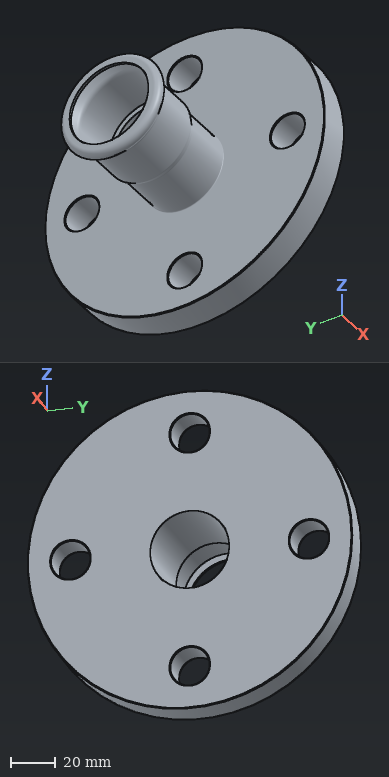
import cadquery as cq
import math

total_length = 77.0
flange_radius = 75.0
flange_thickness = 16.0
flange_face = total_length - flange_thickness
edge_chamfer = 0.5

bolt_count = 4
bolt_circle_radius = 55.0
bolt_hole_diameter = 18.0

wall = 1.4
socket_radius = 22.5
mouth_radius = socket_radius - wall
bead_center_radius = 24.0
bead_radius = 3.0
bead_slope = math.radians(45)
bead_root_fillet = 2.0

socket_end = 32.0
neck_radius = 20.7
neck_bore_diameter = 36.5
shoulder_slope = math.radians(30)
shoulder_fillet = 1.8
neck_root_fillet = 0.5

bead_center = (bead_radius, bead_center_radius)
root_center_radius = socket_radius + bead_root_fillet
root_rise = root_center_radius - bead_center_radius
root_center_offset = (bead_radius + bead_root_fillet - root_rise * math.cos(bead_slope)) / math.sin(bead_slope)
root_center = (bead_radius + root_center_offset, root_center_radius)


def on_arc(center, radius, angle):
    """Point (axial, radial) on an arc, with the angle measured from outward radial towards +X."""
    return (center[0] + radius * math.sin(angle), center[1] + radius * math.cos(angle))


def revolve_about_x(profile):
    return profile.close().revolve(360, (0, 0, 0), (1, 0, 0))


def add_bead(profile, offset):
    """Trace the bead, its flank and its root fillet, moved inward by offset."""
    tube_radius = bead_radius - offset
    fillet_radius = bead_root_fillet + offset
    return (
        profile.lineTo(*on_arc(bead_center, tube_radius, -math.pi / 2))
        .threePointArc(
            on_arc(bead_center, tube_radius, (bead_slope - math.pi / 2) / 2),
            on_arc(bead_center, tube_radius, bead_slope),
        )
        .lineTo(*on_arc(root_center, fillet_radius, math.pi + bead_slope))
        .threePointArc(
            on_arc(root_center, fillet_radius, math.pi + bead_slope / 2),
            on_arc(root_center, fillet_radius, math.pi),
        )
    )


def make_tube():
    """Solid outer form of the socket, shoulder and neck."""
    first_center = (socket_end, socket_radius - shoulder_fillet)
    fillet_drop = shoulder_fillet * (1 - math.cos(shoulder_slope))
    cone_drop = socket_radius - neck_radius - 2 * fillet_drop
    cone_length = cone_drop / math.tan(shoulder_slope)
    shoulder_length = cone_length + 2 * shoulder_fillet * math.sin(shoulder_slope)
    second_center = (socket_end + shoulder_length, neck_radius + shoulder_fillet)
    root_fillet_center = (flange_face - neck_root_fillet, neck_radius + neck_root_fillet)

    profile = add_bead(cq.Workplane("XY").moveTo(0, 0), 0)
    profile = (
        profile.lineTo(socket_end, socket_radius)
        .threePointArc(
            on_arc(first_center, shoulder_fillet, shoulder_slope / 2),
            on_arc(first_center, shoulder_fillet, shoulder_slope),
        )
        .lineTo(*on_arc(second_center, shoulder_fillet, math.pi + shoulder_slope))
        .threePointArc(
            on_arc(second_center, shoulder_fillet, math.pi + shoulder_slope / 2),
            on_arc(second_center, shoulder_fillet, math.pi),
        )
        .lineTo(root_fillet_center[0], neck_radius)
        .threePointArc(
            on_arc(root_fillet_center, neck_root_fillet, math.pi * 3 / 4),
            (flange_face, root_fillet_center[1]),
        )
        .lineTo(total_length, root_fillet_center[1])
        .lineTo(total_length, 0)
    )
    return revolve_about_x(profile)


def make_bore():
    """Stepped bore with the seal groove inside the bead."""
    profile = (
        cq.Workplane("XY")
        .moveTo(0, 0)
        .lineTo(0, mouth_radius)
        .lineTo(wall, mouth_radius)
    )
    profile = (
        add_bead(profile, wall)
        .lineTo(socket_end, mouth_radius)
        .lineTo(socket_end, neck_bore_diameter / 2)
        .lineTo(total_length, neck_bore_diameter / 2)
        .lineTo(total_length, 0)
    )
    return revolve_about_x(profile)


def make_flange():
    """Disc with bolt holes, all its rims and hole edges chamfered."""
    return (
        cq.Workplane("YZ")
        .workplane(offset=flange_face)
        .circle(flange_radius)
        .extrude(flange_thickness)
        .faces(">X")
        .workplane()
        .polarArray(bolt_circle_radius, 0, 360, bolt_count)
        .hole(bolt_hole_diameter)
        .faces("<X or >X")
        .edges()
        .chamfer(edge_chamfer)
    )


result = make_flange().union(make_tube()).cut(make_bore())